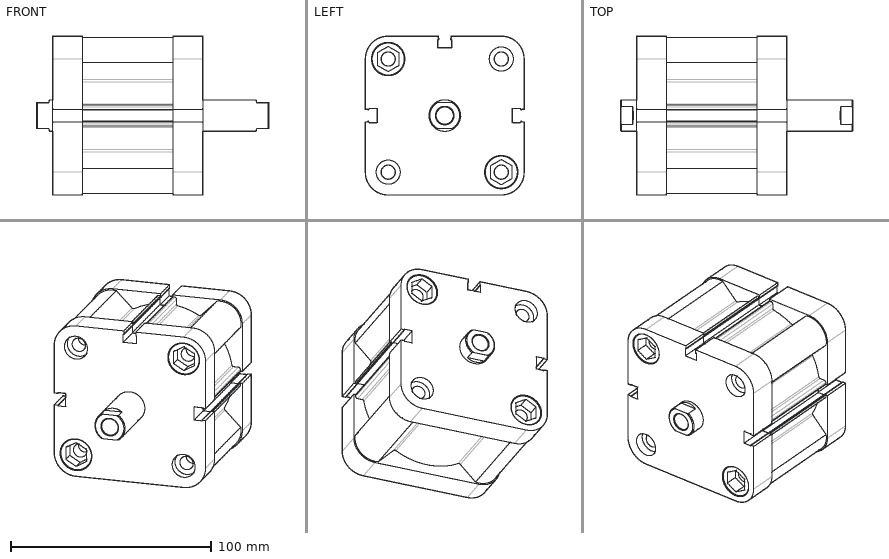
import cadquery as cq
import math

size = 79.5
cap_length = 14.8
body_length = 75.0
barrel_length = body_length - 2 * cap_length

corner_radius = 11.5
screw_offset = size / 2 - corner_radius
screw_hole_radius = 3.5
counterbore_radius = 6.0
counterbore_depth = 4.6
socket_flats = 10.9
socket_depth = 6.5
dish_radius = 8.4
dish_depth = 0.3

slot_angles = (-90, 0, 90)
slot_half_width = 3.5
slot_step_height = size / 2 - 2.0
cap_mouth_half_width = 3.1
cap_slot_floor = size / 2 - 6.0
lip_half_width = 2.8
lip_chamfer = 0.3
barrel_slot_floor = size / 2 - 5.8

wall_radius = 34.8
arm_half_width = 8.8
arm_end_radius = 10.8
arm_root_fillet = 1.0
rail_half_width = 5.2
rail_top = size / 2 - 1.0
rail_edge_fillet = 1.0
rail_root_fillet = 0.8

rod_length = 116.0
rod_overhang = 8.0
rod_radius = 7.9
rod_chamfer = 0.5
rod_flats = 13.0
flat_length = 6.0
flat_end_slope = 0.3
bore_radius = 4.3
bore_chamfer = 0.3
bore_depth = 18.6
drill_tip_angle = 118
drill_tip_length = bore_radius / math.tan(math.radians(drill_tip_angle / 2))


def section_plane(x):
    """Section across X: local x is Y and local y is Z."""
    return cq.Workplane("YZ", origin=(x, 0, 0))


def cylinder(x, radius, length, y=0.0, z=0.0):
    return section_plane(x).center(y, z).circle(radius).extrude(length)


def cone(x, radius, end_radius, length, y=0.0, z=0.0):
    solid = cq.Solid.makeCone(radius, end_radius, length, cq.Vector(x, y, z), cq.Vector(1, 0, 0))
    return cq.Workplane(solid)


def symmetric_prism(half_outline, x, length):
    """Prism whose section is the outline on its +Y half plus the mirror image."""
    mirrored = [(-y, z) for y, z in reversed(half_outline)]
    return section_plane(x).polyline(half_outline + mirrored).close().extrude(length)


def rotated_about_x(body, angle):
    return body.rotate((0, 0, 0), (1, 0, 0), angle)


def mirrored_end(body, length):
    """Copy of a body spanning X = 0 to length, turned end for end."""
    return body.mirror("YZ").translate((length, 0, 0))


def make_cap():
    """Left end cap, outer face at X = 0."""
    cap = section_plane(0).rect(size, size).extrude(cap_length).edges("|X").fillet(corner_radius)
    cap = cap.cut(cylinder(0, rod_radius, cap_length))

    slot = symmetric_prism(
        [
            (slot_half_width, cap_slot_floor),
            (slot_half_width, slot_step_height),
            (cap_mouth_half_width, slot_step_height),
            (cap_mouth_half_width, size),
        ],
        0,
        cap_length,
    )
    for angle in slot_angles:
        cap = cap.cut(rotated_about_x(slot, angle))

    socket_diameter = socket_flats / math.cos(math.radians(30))
    for y_side in (-1, 1):
        for z_side in (-1, 1):
            y = y_side * screw_offset
            z = z_side * screw_offset
            cap = cap.cut(cylinder(0, screw_hole_radius, cap_length, y, z))
            if y_side == z_side:
                socket = section_plane(dish_depth).polygon(6, socket_diameter).extrude(socket_depth)
                socket = rotated_about_x(socket, 90).translate((0, y, z))
                cap = cap.cut(socket)
                cap = cap.cut(cone(0, dish_radius, dish_radius - dish_depth, dish_depth, y, z))
            else:
                cap = cap.cut(cylinder(0, counterbore_radius, counterbore_depth, y, z))
    return cap


def make_arm():
    """Arm of the barrel along +Z, from the axis out to its round end."""
    end_center = screw_offset * math.sqrt(2)
    shoulder = end_center + math.sqrt(arm_end_radius**2 - arm_half_width**2)
    return (
        section_plane(cap_length)
        .moveTo(-arm_half_width, 0)
        .lineTo(-arm_half_width, shoulder)
        .threePointArc((0, end_center + arm_end_radius), (arm_half_width, shoulder))
        .lineTo(arm_half_width, 0)
        .close()
        .extrude(barrel_length)
    )


def wall_junctions(body, off_axis_min, off_axis_max):
    """Lengthwise edges on the round wall, chosen by distance from the nearer Y or Z axis."""
    tolerance = 0.01

    def is_junction(edge):
        center = edge.Center()
        on_wall = abs(math.hypot(center.y, center.z) - wall_radius) < tolerance
        return on_wall and off_axis_min < min(abs(center.y), abs(center.z)) < off_axis_max

    return body.newObject([edge for edge in body.edges("|X").vals() if is_junction(edge)])


def make_barrel():
    barrel = cylinder(cap_length, wall_radius, barrel_length)

    arm = make_arm()
    for angle in (45, 135, 225, 315):
        barrel = barrel.union(rotated_about_x(arm, angle))

    rail = symmetric_prism([(rail_half_width, 0), (rail_half_width, rail_top)], cap_length, barrel_length)
    rail = rail.edges("|X and >Z").fillet(rail_edge_fillet)
    for angle in slot_angles:
        barrel = barrel.union(rotated_about_x(rail, angle))

    split = 2 * rail_half_width
    barrel = wall_junctions(barrel, split, wall_radius).fillet(arm_root_fillet)
    barrel = wall_junctions(barrel, lip_half_width, split).fillet(rail_root_fillet)

    slot = symmetric_prism(
        [
            (slot_half_width, barrel_slot_floor),
            (slot_half_width, slot_step_height),
            (lip_half_width, slot_step_height + lip_chamfer),
            (lip_half_width, rail_top - lip_chamfer),
            (lip_half_width + lip_chamfer, rail_top),
        ],
        cap_length,
        barrel_length,
    )
    for angle in slot_angles:
        barrel = barrel.cut(rotated_about_x(slot, angle))

    barrel = barrel.cut(cylinder(cap_length, rod_radius, barrel_length))
    for y in (-screw_offset, screw_offset):
        for z in (-screw_offset, screw_offset):
            barrel = barrel.cut(cylinder(cap_length, screw_hole_radius, barrel_length, y, z))
    return barrel


def make_rod_end_cuts():
    """Cutting bodies for a rod end at X = 0: two wrench flats and a drilled bore."""
    flat = rod_flats / 2
    flat_cut = (
        cq.Workplane("XZ")
        .polyline(
            [
                (0, flat),
                (flat_length, flat),
                (flat_length + flat_end_slope, rod_radius),
                (0, rod_radius),
            ]
        )
        .close()
        .extrude(rod_radius, both=True)
    )
    bore = cylinder(0, bore_radius, bore_depth)
    bore = bore.union(cone(bore_depth, bore_radius, 0, drill_tip_length))
    bore = bore.union(cone(0, bore_radius + bore_chamfer, bore_radius, bore_chamfer))
    return [flat_cut, rotated_about_x(flat_cut, 180), bore]


def make_rod():
    rod = cylinder(0, rod_radius, rod_length).faces("<X or >X").chamfer(rod_chamfer)
    for end_cut in make_rod_end_cuts():
        rod = rod.cut(end_cut).cut(mirrored_end(end_cut, rod_length))
    return rod.translate((-rod_overhang, 0, 0))


left_cap = make_cap()
right_cap = mirrored_end(left_cap, body_length)
barrel = make_barrel()
rod = make_rod()

result = cq.Compound.makeCompound([left_cap.val(), right_cap.val(), barrel.val(), rod.val()])